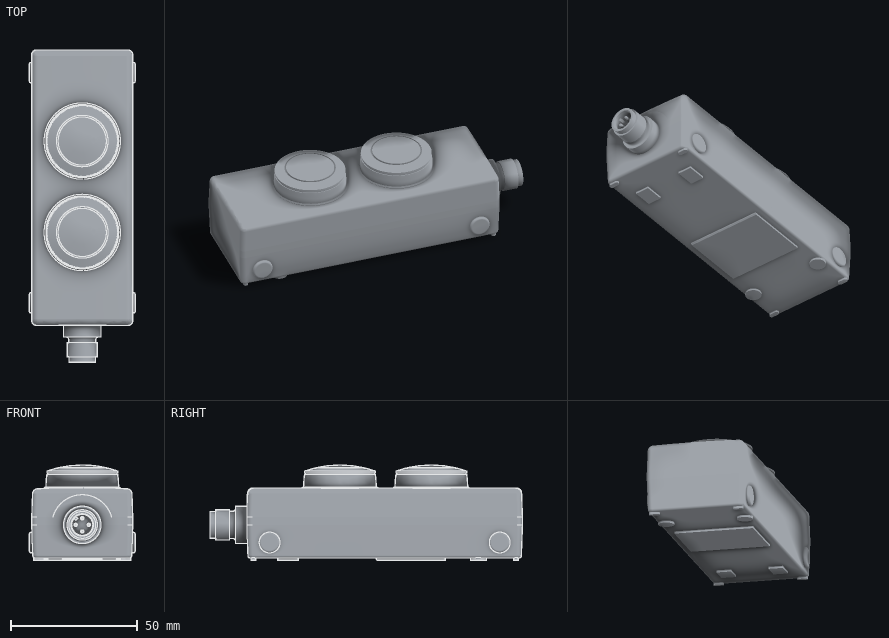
import cadquery as cq
import math

body_width = 39.9
body_length = 108.65
bottom_z = 0.9
parting_z = 13.9
band_top_z = 17.1
top_z = 28.6
top_crown = 0.4
lower_draft = 2.0
upper_draft = 2.0
corner_radius = 2.0
top_edge_radius = 2.2
bottom_edge_radius = 1.0
front_y = -body_length / 2
back_y = body_length / 2

arch_radius = 12.0
arch_depth = 3.0

side_button_diameter = 8.2
side_button_face_diameter = 6.5
side_button_span = 41.8
side_button_z = 7.05
side_button_end_distance = 9.0
side_button_round = (side_button_diameter - side_button_face_diameter) / 2

push_button_y = (-17.6, 18.4)
button_overlap = 1.0
apex_z = 37.64
skirt_foot_diameter = 30.1
skirt_diameter = 28.8
skirt_bulge_height = 0.1
cap_diameter = 28.0
cap_neck_diameter = 27.4
foot_top_z = 29.0
skirt_top_z = 33.8
cap_bottom_z = 34.4
cap_edge_z = 35.2
lens_gap_outer_diameter = 20.3
lens_gap_inner_diameter = 19.0
lens_gap_floor_z = 35.9

connector_z = 14.0
collar_diameter = 14.8
collar_length = 4.5
collar_overlap = 1.0
neck_diameter = 10.8
neck_length = 2.2
neck_fillet = 1.0
ring_diameter = 12.0
ring_length = 5.6
tip_diameter = 10.6
tip_length = 2.2
connector_length = collar_length + neck_length + ring_length + tip_length
socket_diameter = 8.3
socket_depth = 8.0
socket_chamfer = 0.25
pin_count = 4
pin_diameter = 1.3
pin_circle_radius = 2.6
pin_recess = 2.0
pin_chamfer = 0.25
key_width = 1.1
key_height = 1.1
key_angle = 45

foot_overlap = 0.6
corner_foot_length = 4.3
corner_foot_width = 1.9
corner_foot_x = 17.05
corner_foot_end_distance = 2.6
round_foot_diameter = 6.4
round_foot_x = 16.0
round_foot_y = back_y - 17.4
block_foot_width = 5.9
block_foot_length = 8.2
block_foot_x = 10.55
block_foot_y = front_y + 16.25
plate_width = 32.0
plate_length = 27.3
plate_y = back_y - 44.05
plate_front_chamfer = 0.5


def rounded_block(start_z, height, draft=0.0):
    """Housing slice with rounded corners that narrows away from start_z by the draft angle."""
    block = cq.Workplane("XY", origin=(0, 0, start_z)).rect(body_width, body_length)
    block = block.extrude(height, taper=draft)
    return block.edges("not(#Z or |X or |Y)").fillet(corner_radius)


def crowned_envelope():
    """Space above the band, closed by a top that is slightly arched across the width."""
    half_width = body_width / 2
    side_z = top_z - top_crown
    return (
        cq.Workplane("XZ", origin=(0, back_y, 0))
        .moveTo(-half_width, band_top_z)
        .lineTo(-half_width, side_z)
        .threePointArc((0, top_z), (half_width, side_z))
        .lineTo(half_width, band_top_z)
        .close()
        .extrude(body_length)
    )


def housing():
    band = rounded_block(parting_z, band_top_z - parting_z)
    upper = rounded_block(band_top_z, top_z - band_top_z, upper_draft)
    upper = upper.intersect(crowned_envelope())
    upper = upper.faces(">Z").edges().fillet(top_edge_radius)
    lower = rounded_block(parting_z, bottom_z - parting_z, lower_draft)
    lower = lower.faces("<Z").edges().fillet(bottom_edge_radius)
    return band.union(upper).union(lower)


def front_arch():
    disc = cq.Workplane("XZ", origin=(0, front_y, parting_z)).circle(arch_radius).extrude(-arch_depth)
    below_band = cq.Workplane("XY", origin=(0, front_y, parting_z))
    below_band = below_band.rect(2 * arch_radius, 2 * arch_depth).extrude(-arch_radius)
    return disc.cut(below_band)


def side_buttons(y):
    pair = cq.Workplane("YZ", origin=(-side_button_span / 2, y, side_button_z))
    pair = pair.circle(side_button_diameter / 2).extrude(side_button_span)
    return pair.faces("<X or >X").edges().fillet(side_button_round)


def dome_z(radius):
    """Height of the spherical button top at a distance from the button axis."""
    rise = apex_z - cap_edge_z
    sphere_radius = ((cap_diameter / 2) ** 2 + rise**2) / (2 * rise)
    return apex_z - sphere_radius + math.sqrt(sphere_radius**2 - radius**2)


def push_button(y):
    cap_radius = cap_diameter / 2
    mid_radius = cap_radius / 2
    skirt_bulge_radius = (skirt_diameter + cap_diameter) / 4 + skirt_bulge_height
    skirt_bulge = (skirt_bulge_radius, (foot_top_z + skirt_top_z) / 2)
    profile = (
        cq.Workplane("XZ")
        .moveTo(0, top_z - button_overlap)
        .lineTo(skirt_foot_diameter / 2, top_z - button_overlap)
        .lineTo(skirt_foot_diameter / 2, top_z)
        .lineTo(skirt_diameter / 2, foot_top_z)
        .threePointArc(skirt_bulge, (cap_radius, skirt_top_z))
        .lineTo(cap_neck_diameter / 2, skirt_top_z)
        .lineTo(cap_neck_diameter / 2, cap_bottom_z)
        .lineTo(cap_radius, cap_bottom_z)
        .lineTo(cap_radius, cap_edge_z)
        .threePointArc((mid_radius, dome_z(mid_radius)), (0, apex_z))
        .close()
    )
    button = profile.revolve(360, (0, 0, 0), (0, 1, 0))
    gap = cq.Workplane("XY", origin=(0, 0, lens_gap_floor_z))
    gap = gap.circle(lens_gap_outer_diameter / 2).circle(lens_gap_inner_diameter / 2)
    return button.cut(gap.extrude(apex_z - lens_gap_floor_z)).translate((0, y, 0))


def connector_shell():
    """Turned body of the connector: collar, neck with a fillet at its root, ring and tip."""
    neck_radius = neck_diameter / 2
    neck_end = collar_length + neck_length
    ring_end = neck_end + ring_length
    fillet_middle = neck_fillet * (1 - math.sqrt(0.5))
    return (
        cq.Workplane("XY")
        .moveTo(0, collar_overlap)
        .lineTo(collar_diameter / 2, collar_overlap)
        .lineTo(collar_diameter / 2, -collar_length)
        .lineTo(neck_radius + neck_fillet, -collar_length)
        .threePointArc(
            (neck_radius + fillet_middle, -collar_length - fillet_middle),
            (neck_radius, -collar_length - neck_fillet),
        )
        .lineTo(neck_radius, -neck_end)
        .lineTo(ring_diameter / 2, -neck_end)
        .lineTo(ring_diameter / 2, -ring_end)
        .lineTo(tip_diameter / 2, -ring_end)
        .lineTo(tip_diameter / 2, -connector_length)
        .lineTo(0, -connector_length)
        .close()
        .revolve(360, (0, 0, 0), (0, 1, 0))
    )


def connector():
    shell = connector_shell()
    socket_floor = cq.Workplane("XZ", origin=(0, socket_depth - connector_length, 0))
    socket = socket_floor.circle(socket_diameter / 2).extrude(socket_depth)
    shell = shell.cut(socket).faces("<Y").edges("%CIRCLE").edges(cq.selectors.RadiusNthSelector(0))
    shell = shell.chamfer(socket_chamfer)
    insert_length = socket_depth - pin_recess
    pins = socket_floor.polarArray(pin_circle_radius, 0, 360, pin_count)
    pins = pins.circle(pin_diameter / 2).extrude(insert_length)
    pins = pins.faces("<Y").edges().chamfer(pin_chamfer)
    key = socket_floor.center(-socket_diameter / 2, 0).rect(2 * key_height, key_width)
    key = key.extrude(insert_length).rotate((0, 0, 0), (0, 1, 0), key_angle)
    return shell.union(pins).union(key).translate((0, front_y, connector_z))


def feet():
    def pads(points):
        return cq.Workplane("XY").pushPoints(points)

    height = bottom_z + foot_overlap
    corner_y = body_length / 2 - corner_foot_end_distance
    corners = [(sx * corner_foot_x, sy * corner_y) for sx in (-1, 1) for sy in (-1, 1)]
    rounds = [(sx * round_foot_x, round_foot_y) for sx in (-1, 1)]
    blocks = [(sx * block_foot_x, block_foot_y) for sx in (-1, 1)]
    plate = cq.Workplane("XY", origin=(0, plate_y, 0)).rect(plate_width, plate_length).extrude(height)
    plate = plate.faces("<Z").edges("<Y").chamfer(plate_front_chamfer)
    return [
        pads(corners).slot2D(corner_foot_length, corner_foot_width).extrude(height),
        pads(rounds).circle(round_foot_diameter / 2).extrude(height),
        pads(blocks).rect(block_foot_width, block_foot_length).extrude(height),
        plate,
    ]


part = housing().union(front_arch())
for end in (-1, 1):
    part = part.union(side_buttons(end * (body_length / 2 - side_button_end_distance)))
for y in push_button_y:
    part = part.union(push_button(y))
for foot in feet():
    part = part.union(foot)
result = part.union(connector())